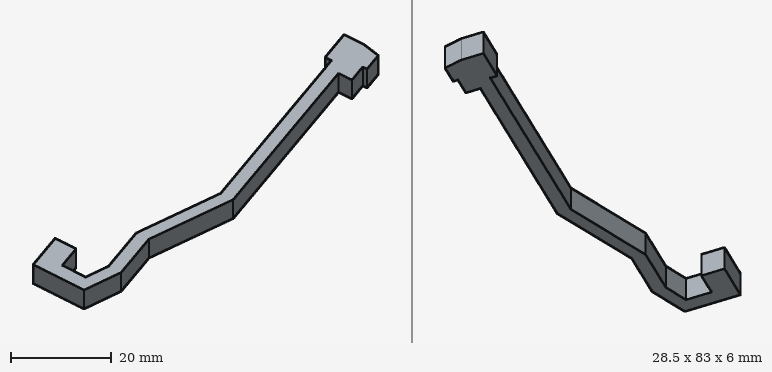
import cadquery as cq

length = 83.0
width = 28.5
thickness = 6.0

arm_width = 3.0
heel_x = 12.0
lower_arm_right = 15.8
upper_arm_right = 24.3
lower_bend_y = 7.8
middle_bend_y = 17.9
upper_bend_y = 35.5
lower_arm_left = lower_arm_right - arm_width
upper_arm_left = upper_arm_right - arm_width

floor_height = 3.0
toe_width = 5.0
toe_height = 8.05
heel_slope = (lower_arm_right - heel_x) / lower_bend_y
heel_inner_x = heel_x - arm_width + heel_slope * floor_height

head_left = 19.8
left_shoulder_y = length - 7.0
right_shoulder_y = length - 9.0
step_x = width - 1.0
step_y = length - 5.0
slant_start_x = 24.6
slant_drop = 0.8

foot_bottom = [(0, 0), (heel_x, 0)]
arm_right_side = [
    (lower_arm_right, lower_bend_y),
    (lower_arm_right, middle_bend_y),
    (upper_arm_right, upper_bend_y),
    (upper_arm_right, right_shoulder_y),
]
head = [
    (step_x, right_shoulder_y),
    (step_x, step_y),
    (width, step_y),
    (width, length - slant_drop),
    (slant_start_x, length),
    (head_left, length),
    (head_left, left_shoulder_y),
]
arm_left_side = [
    (upper_arm_left, left_shoulder_y),
    (upper_arm_left, upper_bend_y),
    (lower_arm_left, middle_bend_y),
    (lower_arm_left, lower_bend_y),
]
foot_inside = [
    (heel_inner_x, floor_height),
    (toe_width, floor_height),
    (toe_width, toe_height),
    (0, toe_height),
]
outline = foot_bottom + arm_right_side + head + arm_left_side + foot_inside

result = cq.Workplane("XY").polyline(outline).close().extrude(thickness)